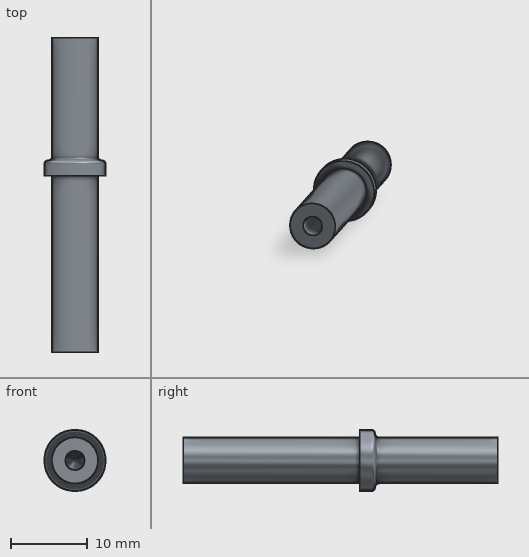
import cadquery as cq
import math

shaft_radius = 3.0
front_length = 23.0
back_length = 18.0

collar_radius = 4.0
collar_width = 2.0
blend_radius = (collar_radius - shaft_radius) / 2

hole_radius = 1.25
hole_depth = 10.0
drill_point_angle = 118.0

front_y = -front_length
back_y = back_length


def revolve_about_y(profile):
    """Turn a closed half profile (radius along X, length along Y) into a solid."""
    return profile.revolve(360, (0, 0), (0, 1))


def make_body():
    """Shaft with its collar."""
    blend_start_y = collar_width - blend_radius
    blend_end_y = collar_width + blend_radius
    blend_middle = (shaft_radius + blend_radius, collar_width)

    diagonal = blend_radius * math.sqrt(0.5)
    rim_arc_mid = (collar_radius - blend_radius + diagonal, blend_start_y + diagonal)
    root_arc_mid = (shaft_radius + blend_radius - diagonal, blend_end_y - diagonal)

    profile = (
        cq.Workplane("XY")
        .moveTo(0, front_y)
        .lineTo(shaft_radius, front_y)
        .lineTo(shaft_radius, 0)
        .lineTo(collar_radius, 0)
        .lineTo(collar_radius, blend_start_y)
        .threePointArc(rim_arc_mid, blend_middle)
        .threePointArc(root_arc_mid, (shaft_radius, blend_end_y))
        .lineTo(shaft_radius, back_y)
        .lineTo(0, back_y)
        .close()
    )
    return revolve_about_y(profile)


def make_hole():
    """Blind hole from the front end, with the conical bottom left by a drill."""
    bottom_y = front_y + hole_depth
    point_length = hole_radius / math.tan(math.radians(drill_point_angle / 2))
    profile = (
        cq.Workplane("XY")
        .moveTo(0, front_y)
        .lineTo(hole_radius, front_y)
        .lineTo(hole_radius, bottom_y)
        .lineTo(0, bottom_y + point_length)
        .close()
    )
    return revolve_about_y(profile)


result = make_body().cut(make_hole())